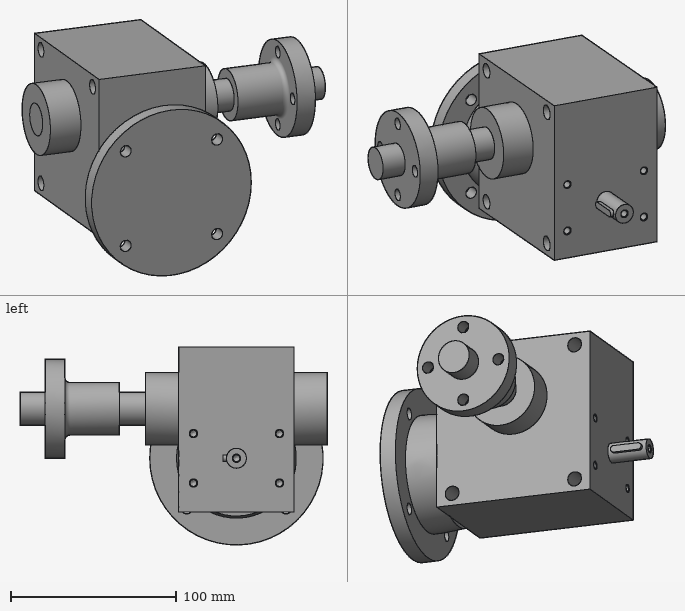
import cadquery as cq
import math


tapped_hole_diameter = 4.0
tapped_hole_depth = 10.0
tapped_mouth_diameter = 5.0
drill_tip_angle = 118.0

housing_length = 100.0
housing_width = 70.0
housing_height = 100.0
housing_top = 67.5
housing_bottom = housing_top - housing_height
bolt_hole_diameter = 9.0
bolt_spacing_x = 80.0
bolt_inset_z = 7.6
tapped_spacing_y = 52.0
tapped_spacing_z = 30.0

screw_height = 30.0
screw_diameter = 20.0
boss_diameter = 44.0
boss_length = 20.0
boss_end = housing_width / 2 + boss_length
screw_length = 186.0

nut_barrel_diameter = 32.0
nut_flange_diameter = 60.0
nut_flange_thickness = 12.0
nut_length = 45.0
nut_fillet = 3.0
nut_hole_diameter = 7.0
nut_hole_circle = 46.0
nut_hole_count = 4
screw_tail = 15.0
nut_end = screw_length - boss_end - screw_tail

shaft_diameter = 12.0
shaft_projection = 25.0
key_length = 20.0
key_width = 4.0
key_projection = 2.0
key_end_gap = 2.5

neck_small_diameter = 70.0
neck_large_diameter = 72.5
neck_length = 19.9
flange_diameter = 105.0
flange_thickness = 10.0
flange_hole_diameter = 7.0
flange_hole_circle = 85.0
flange_hole_count = 4


def tapped_hole(start_x, y, z):
    """Blind hole along +X with a 45 degree mouth and a conical bottom, as a cutting tool."""
    radius = tapped_hole_diameter / 2
    mouth_radius = tapped_mouth_diameter / 2
    tip_length = radius / math.tan(math.radians(drill_tip_angle / 2))
    profile = (
        cq.Workplane("XY")
        .lineTo(0, mouth_radius)
        .lineTo(mouth_radius - radius, radius)
        .lineTo(tapped_hole_depth, radius)
        .lineTo(tapped_hole_depth + tip_length, 0)
        .close()
    )
    return profile.revolve(360, (0, 0, 0), (1, 0, 0)).translate((start_x, y, z))


def cylinder_along_y(diameter, start_y, length):
    """Cylinder on the lead screw axis, running toward +Y."""
    plane = cq.Plane(origin=(0, start_y, screw_height), xDir=(1, 0, 0), normal=(0, 1, 0))
    return cq.Workplane(plane).circle(diameter / 2).extrude(length)


def cylinder_along_x(diameter, start_x, length):
    """Cylinder on the worm shaft axis, running toward +X."""
    return cq.Workplane("YZ", origin=(start_x, 0, 0)).circle(diameter / 2).extrude(length)


def make_housing():
    middle_z = (housing_top + housing_bottom) / 2
    body = cq.Workplane("XY").box(housing_length, housing_width, housing_height)
    body = body.translate((0, 0, middle_z))
    body = body.union(cylinder_along_y(boss_diameter, -boss_end, 2 * boss_end))

    bolt_holes = (
        cq.Workplane("XZ", origin=(0, housing_width / 2, middle_z))
        .rarray(bolt_spacing_x, housing_height - 2 * bolt_inset_z, 2, 2)
        .circle(bolt_hole_diameter / 2)
        .extrude(housing_width)
    )
    body = body.cut(bolt_holes)

    for y in (-tapped_spacing_y / 2, tapped_spacing_y / 2):
        for z in (-tapped_spacing_z / 2, tapped_spacing_z / 2):
            body = body.cut(tapped_hole(-housing_length / 2, y, z))

    screw_bore = cylinder_along_y(screw_diameter, -boss_end, 2 * boss_end)
    shaft_bore = cylinder_along_x(shaft_diameter, -housing_length / 2, housing_length)
    return body.cut(screw_bore).cut(shaft_bore)


def make_lead_screw():
    return cylinder_along_y(screw_diameter, -boss_end, screw_length)


def make_nut():
    flange_face = nut_end - nut_flange_thickness
    flange = cylinder_along_y(nut_flange_diameter, flange_face, nut_flange_thickness)
    barrel = cylinder_along_y(nut_barrel_diameter, nut_end - nut_length, nut_length)
    nut = flange.union(barrel)
    flange_underside = cq.selectors.NearestToPointSelector((0, flange_face, screw_height))
    smallest_circle = cq.selectors.RadiusNthSelector(0)
    nut = nut.faces(flange_underside).edges(smallest_circle).fillet(nut_fillet)

    holes = (
        cq.Workplane("XZ", origin=(0, nut_end, screw_height))
        .polarArray(nut_hole_circle / 2, 0, 360, nut_hole_count)
        .circle(nut_hole_diameter / 2)
        .extrude(nut_flange_thickness)
    )
    bore = cylinder_along_y(screw_diameter, nut_end - nut_length, nut_length)
    return nut.cut(holes).cut(bore)


def make_worm_shaft():
    shaft_end = -housing_length / 2 - shaft_projection
    shaft = cylinder_along_x(shaft_diameter, shaft_end, shaft_projection + housing_length)
    key = (
        cq.Workplane("XZ", origin=(shaft_end + key_end_gap + key_length / 2, 0, 0))
        .slot2D(key_length, key_width)
        .extrude(-(shaft_diameter / 2 + key_projection))
    )
    return shaft.union(key).cut(tapped_hole(shaft_end, 0, 0))


def make_motor_flange():
    neck_start = housing_length / 2
    plate_start = neck_start + neck_length
    plate_end = plate_start + flange_thickness
    small_radius = neck_small_diameter / 2
    large_radius = neck_large_diameter / 2
    flange_radius = flange_diameter / 2
    flare_rise = large_radius - small_radius
    flare_radius = (neck_length**2 + flare_rise**2) / (2 * flare_rise)
    flange = (
        cq.Workplane("XY")
        .moveTo(neck_start, 0)
        .lineTo(neck_start, small_radius)
        .radiusArc((plate_start, large_radius), flare_radius)
        .lineTo(plate_start, flange_radius)
        .lineTo(plate_end, flange_radius)
        .lineTo(plate_end, 0)
        .close()
        .revolve(360, (0, 0, 0), (1, 0, 0))
    )
    holes = (
        cq.Workplane("YZ", origin=(plate_start, 0, 0))
        .polarArray(flange_hole_circle / 2, 45, 360, flange_hole_count)
        .circle(flange_hole_diameter / 2)
        .extrude(flange_thickness)
    )
    return flange.cut(holes)


housing = make_housing()
lead_screw = make_lead_screw()
nut = make_nut()
worm_shaft = make_worm_shaft()
motor_flange = make_motor_flange()

result = cq.Compound.makeCompound([
    housing.val(),
    lead_screw.val(),
    nut.val(),
    worm_shaft.val(),
    motor_flange.val(),
])